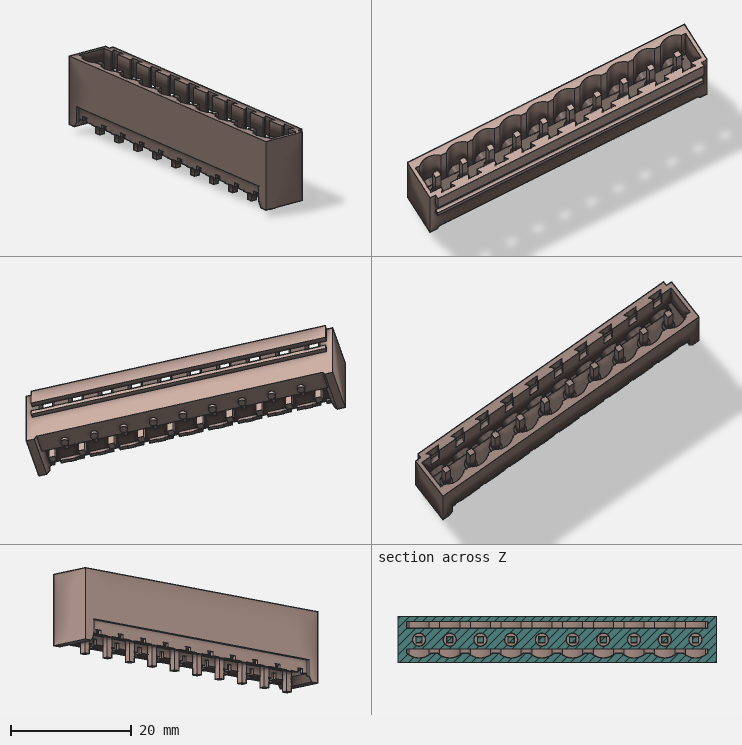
import cadquery as cq

length = 52.7
depth = 7.65
height = 12.05
poles = 10
pole_span = 45.75

end_wall = 0.7
front_wall = 1.6
rear_wall = 0.85
floor_z = 4.75
scallop_width = 4.0
scallop_depth = 0.8

trough_inset = 1.5
trough_z = 2.4
rib_front = 2.2
rib_rear = 5.7
ridge_width = 3.3
ridge_shoulder_z = 3.5
ridge_crown_z = 4.65

pin_size = 1.05
pin_y = 3.8
pin_top_gap = 1.1
pin_tail = 1.4
pin_seat_diameter = 2.1
pin_seat_depth = 0.25

flange_inset = 1.05
flange_depth = 0.8
flange_height = 3.2
bar_depth = 0.7
bar_bottom = 6.0
bar_height = 0.9
groove_bottom = 7.65
groove_outer_width = 2.55
groove_inner_width = 1.75
groove_flare_depth = 0.55

foot_sole_width = 1.35
foot_width = 2.2
foot_bevel_height = 1.35
panel_end = 1.95
panel_top = 3.7
panel_depth = 0.55
skirt_thickness = 0.55
skirt_bottom = 1.4
cavity_top = 2.1
rail_front = 4.3
rail_bottom = 0.65
standoff_diameter = 1.25
standoff_y = 5.55
key_width = 0.55
key_bottom = 0.3
key_top = 1.5
key_depth = 0.3
tab_width = 1.25
tab_bottom = 1.3

pitch = pole_span / (poles - 1)
well_rear = depth - rear_wall
skirt_rear = panel_depth + skirt_thickness
pole_xs = [i * pitch - pole_span / 2 for i in range(poles)]
gap_xs = [x + pitch / 2 for x in pole_xs[:-1]]


def block(width, y_start, y_end, z_start, z_end, x=0.0):
    """Box centred on x and spanning the given Y and Z limits."""
    size_y = y_end - y_start
    size_z = z_end - z_start
    box = cq.Workplane("XY").box(width, size_y, size_z, centered=(True, False, False))
    return box.translate((x, y_start, z_start))


def cylinder(diameter, x, y, z_start, z_end):
    """Upright cylinder."""
    return cq.Workplane("XY", origin=(x, y, z_start)).circle(diameter / 2).extrude(z_end - z_start)


def scallop(x, z_start):
    """Upright cutter that hollows the front wall around a pole with a shallow arc."""
    half = scallop_width / 2
    return (
        cq.Workplane("XY", origin=(x, front_wall, z_start))
        .moveTo(-half, 0)
        .threePointArc((0, -scallop_depth), (half, 0))
        .lineTo(half, rib_front - front_wall)
        .lineTo(-half, rib_front - front_wall)
        .close()
        .extrude(height - z_start)
    )


def ridge(x, y_start, y_end):
    """Ridge lying along Y on the trough bottom, with an arched top above two upright sides."""
    half = ridge_width / 2
    shoulder = ridge_shoulder_z - trough_z
    crown = ridge_crown_z - trough_z
    return (
        cq.Workplane("XZ", origin=(x, y_start, trough_z))
        .moveTo(-half, 0)
        .lineTo(-half, shoulder)
        .threePointArc((0, crown), (half, shoulder))
        .lineTo(half, 0)
        .close()
        .extrude(y_start - y_end)
    )


def trough_space():
    """Both troughs with their ridges left standing."""
    width = length - 2 * trough_inset
    front = block(width, front_wall, rib_front, trough_z, floor_z)
    rear = block(width, rib_rear, well_rear, trough_z, floor_z)
    space = front.union(rear)
    for x in pole_xs:
        space = space.union(scallop(x, trough_z))
    for x in pole_xs:
        space = space.cut(ridge(x, front_wall - scallop_depth, rib_front))
        space = space.cut(ridge(x, rib_rear, well_rear))
    return space


def groove(x):
    """Dovetail groove through the rear wall, straight-sided at the well and flared at the back."""
    inner = groove_inner_width / 2
    outer = groove_outer_width / 2
    flare_y = depth - groove_flare_depth
    outline = [
        (-inner, well_rear), (inner, well_rear), (inner, flare_y),
        (outer, depth), (-outer, depth), (-inner, flare_y),
    ]
    return (
        cq.Workplane("XY", origin=(x, 0, groove_bottom))
        .polyline(outline)
        .close()
        .extrude(height - groove_bottom)
    )


def foot_gap(y_start, y_end, top, side_width):
    """Space between two feet of the given width, widening towards their bevelled soles."""
    bevel_slope = foot_bevel_height / (foot_width - foot_sole_width)
    bevel_top = (side_width - foot_sole_width) * bevel_slope
    inner = length / 2 - side_width
    sole = length / 2 - foot_sole_width
    outline = [
        (-sole, 0), (sole, 0), (inner, bevel_top),
        (inner, top), (-inner, top), (-inner, bevel_top),
    ]
    return cq.Workplane("XZ", origin=(0, y_start, 0)).polyline(outline).close().extrude(y_start - y_end)


def underside_space():
    """Everything cleared below the housing between its feet."""
    space = foot_gap(0, panel_depth, panel_top, panel_end)
    low_gap = foot_gap(panel_depth, depth, cavity_top, foot_width)
    skirt = block(length, panel_depth, skirt_rear, skirt_bottom, cavity_top)
    rail = block(length, rail_front, depth, rail_bottom, cavity_top)
    space = space.union(low_gap.cut(skirt).cut(rail))
    for x in pole_xs:
        space = space.union(block(pin_size, panel_depth, skirt_rear, 0, cavity_top, x))
    return space


body = block(length, 0, depth, 0, height)

body = body.cut(block(length - 2 * end_wall, front_wall, well_rear, floor_z, height))
body = body.cut(trough_space())
for x in pole_xs:
    body = body.cut(groove(x))
    body = body.cut(cylinder(pin_seat_diameter, x, pin_y, floor_z - pin_seat_depth, floor_z))

flange_length = length - 2 * flange_inset
body = body.union(block(flange_length, depth, depth + flange_depth, height - flange_height, height))
body = body.union(block(flange_length, depth, depth + bar_depth, bar_bottom, bar_bottom + bar_height))

body = body.cut(underside_space())
for x in gap_xs:
    body = body.union(cylinder(standoff_diameter, x, standoff_y, 0, cavity_top))
    body = body.union(block(tab_width, panel_depth, skirt_rear, tab_bottom, cavity_top, x))
    body = body.union(block(key_width, rail_front - key_depth, standoff_y, key_bottom, key_top, x))

for x in pole_xs:
    pin_start = pin_y - pin_size / 2
    body = body.union(block(pin_size, pin_start, pin_start + pin_size, -pin_tail, height - pin_top_gap, x))

result = body